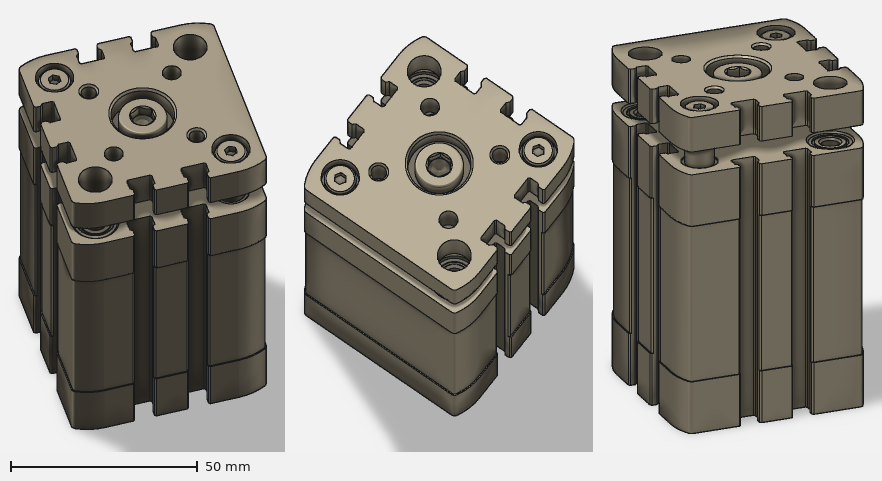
import cadquery as cq
import math


width = 54.5
cap_height = 15.0
housing_height = 75.0
gap = 6.6
plate_thickness = 10.0
barrel_inset = 0.35

half_width = width / 2
plate_bottom = housing_height + gap
plate_top = plate_bottom + plate_thickness

side_arc_start = 18.8
side_arc_radius = 16.5
corner_radius = 1.5

slot_offset = 7.55
slot_mouth = 5.5
slot_width = 7.0
slot_depth = 5.6
slot_mouth_chamfer = 0.45
slot_floor_chamfer = 0.4
slot_lip = 1.8

corner_offset = 18.95
guide_points = [(-corner_offset, -corner_offset), (corner_offset, corner_offset)]
bolt_points = [(-corner_offset, corner_offset), (corner_offset, -corner_offset)]
guide_diameter = 8.0
guide_depth = 15.0
guide_recess_diameter = 10.0
guide_recess_depth = 0.5
screw_pocket_diameter = 10.2
screw_pocket_depth = 4.0
screw_head_diameter = 8.57
screw_head_drop = 0.8
screw_head_chamfer = 0.5
screw_hex = 3.0
screw_hex_depth = 2.0

bolt_access_diameter = 9.0
bolt_seat_diameter = 11.9
bolt_seat_chamfer = 0.5
bolt_groove_outer = 10.0
bolt_head_diameter = 8.57
bolt_groove_depth = 0.5
bolt_bore = 4.92
bolt_countersink = 6.2

mount_offset = 11.6
dowel_points = [(-mount_offset, mount_offset), (mount_offset, -mount_offset)]
thread_points = [(-mount_offset, -mount_offset), (mount_offset, mount_offset)]
dowel_diameter = 5.0
thread_diameter = 4.13
thread_countersink = 5.3

rod_diameter = 12.0
rod_depth = 15.0
rod_flats = 10.0
rod_flat_height = 4.5
pocket_diameter = 17.0
pocket_depth = 5.5
pocket_chamfer = 0.6
head_diameter = 13.0
head_drop = 1.0
head_round = 0.6
head_hex = 6.0
head_hex_depth = 3.0
head_hex_countersink = 7.0
drill_diameter = 4.13


def cylinder(diameter, bottom, height, points=((0, 0),)):
    return cq.Workplane("XY").workplane(offset=bottom).pushPoints(points).circle(diameter / 2).extrude(height)


def cone(lower_diameter, upper_diameter, bottom, height, points=((0, 0),)):
    solid = cq.Solid.makeCone(lower_diameter / 2, upper_diameter / 2, height)
    return cq.Workplane("XY").pushPoints(points).eachpoint(
        lambda place: solid.moved(place).translate(cq.Vector(0, 0, bottom)))


def countersink(diameter, hole_diameter, top, points):
    """45 degree entry cone that opens a hole from hole_diameter to diameter at height top."""
    depth = (diameter - hole_diameter) / 2
    return cone(hole_diameter, diameter, top - depth, depth, points)


def hexagon(across_flats, top, depth, points=((0, 0),)):
    across_corners = across_flats / math.cos(math.pi / 6)
    return (cq.Workplane("XY").workplane(offset=top - depth).pushPoints(points)
            .polygon(6, across_corners).extrude(depth))


def slot_cutter(half, bottom, height):
    """T slot open towards -Y in a block whose face lies at Y = -half."""
    mouth = slot_mouth / 2
    inner = slot_width / 2
    face = -half
    lip_end = -half_width + slot_lip
    floor = -half_width + slot_depth
    right = [
        (mouth + slot_mouth_chamfer, face),
        (mouth, face + slot_mouth_chamfer),
        (mouth, lip_end),
        (inner, lip_end + inner - mouth),
        (inner, floor - slot_floor_chamfer),
        (inner - slot_floor_chamfer, floor),
    ]
    left = [(-x, y) for x, y in reversed(right)]
    return cq.Workplane("XY").workplane(offset=bottom).polyline(right + left).close().extrude(height)


def profile_block(half, bottom, height):
    """Block with curved X sides and two T slots on each of the -X, -Y and +X sides."""
    inset = half_width - half
    arc_radius = side_arc_radius - inset
    rise = half - side_arc_start
    angle = math.asin(rise / arc_radius)

    def on_arc(turn):
        return (half - arc_radius * (1 - math.cos(turn)), side_arc_start + arc_radius * math.sin(turn))

    mid_x, mid_y = on_arc(angle / 2)
    end_x, end_y = on_arc(angle)
    block = (
        cq.Workplane("XY").workplane(offset=bottom)
        .moveTo(half, -side_arc_start)
        .lineTo(half, side_arc_start)
        .threePointArc((mid_x, mid_y), (end_x, end_y))
        .lineTo(-end_x, end_y)
        .threePointArc((-mid_x, mid_y), (-half, side_arc_start))
        .lineTo(-half, -side_arc_start)
        .threePointArc((-mid_x, -mid_y), (-end_x, -end_y))
        .lineTo(end_x, -end_y)
        .threePointArc((mid_x, -mid_y), (half, -side_arc_start))
        .close().extrude(height)
    )
    block = block.faces("<Y or >Y").edges("|Z").fillet(corner_radius - inset)
    slot = slot_cutter(half, bottom, height)
    for turn in (-90, 0, 90):
        for offset in (-slot_offset, slot_offset):
            block = block.cut(slot.translate((offset, 0, 0)).rotate((0, 0, 0), (0, 0, 1), turn))
    return block


def build_housing():
    barrel_height = housing_height - 2 * cap_height
    body = profile_block(half_width, 0, cap_height)
    body = body.union(profile_block(half_width - barrel_inset, cap_height, barrel_height))
    body = body.union(profile_block(half_width, cap_height + barrel_height, cap_height))

    body = body.cut(cylinder(rod_diameter, housing_height - rod_depth, rod_depth))
    body = body.cut(cylinder(guide_diameter, housing_height - guide_depth, guide_depth, guide_points))
    body = body.cut(cylinder(guide_recess_diameter, housing_height - guide_recess_depth,
                             guide_recess_depth, guide_points))

    seat = housing_height - bolt_seat_chamfer
    mouth_diameter = bolt_seat_diameter + 2 * bolt_seat_chamfer
    body = body.cut(countersink(mouth_diameter, bolt_seat_diameter, housing_height, bolt_points))
    groove = cylinder(bolt_groove_outer, seat - bolt_groove_depth, bolt_groove_depth, bolt_points)
    groove = groove.cut(cylinder(bolt_head_diameter, seat - bolt_groove_depth, bolt_groove_depth, bolt_points))
    body = body.cut(groove)
    body = body.cut(cylinder(bolt_bore, 0, housing_height, bolt_points))
    body = body.cut(countersink(bolt_countersink, bolt_bore, seat, bolt_points))
    return body


def piston_rod():
    rod_bottom = housing_height - rod_depth
    rod = cylinder(rod_diameter, rod_bottom, plate_bottom - rod_bottom)
    flat_bottom = plate_bottom - rod_flat_height
    ramp = (rod_diameter - rod_flats) / 2
    for side in (-1, 1):
        flat = (
            cq.Workplane("YZ").workplane(offset=-rod_diameter / 2)
            .moveTo(side * rod_flats / 2, plate_bottom)
            .lineTo(side * rod_flats / 2, flat_bottom)
            .lineTo(side * rod_diameter / 2, flat_bottom - ramp)
            .lineTo(side * rod_diameter / 2, plate_bottom)
            .close().extrude(rod_diameter)
        )
        rod = rod.cut(flat)
    return rod


def piston_screw():
    """Head in the middle pocket: hexagon socket with a drilled, pointed bottom."""
    floor = plate_top - pocket_depth
    top = plate_top - head_drop
    socket_floor = top - head_hex_depth
    cone_depth = (head_hex - drill_diameter) / 2
    tip_depth = drill_diameter / 2 * math.tan(math.radians(30))
    head = cylinder(head_diameter, floor, top - floor).faces(">Z").edges().fillet(head_round)
    socket = hexagon(head_hex, top, head_hex_depth)
    socket = socket.union(countersink(head_hex_countersink, head_hex, top, [(0, 0)]))
    socket = socket.union(cone(drill_diameter, head_hex, socket_floor - cone_depth, cone_depth))
    socket = socket.union(cone(0, drill_diameter, socket_floor - cone_depth - tip_depth, tip_depth))
    return head, socket


def guide_screws():
    floor = plate_top - screw_pocket_depth
    top = plate_top - screw_head_drop
    heads = cylinder(screw_head_diameter, floor, top - floor, guide_points)
    heads = heads.faces(">Z").edges().chamfer(screw_head_chamfer)
    return heads.cut(hexagon(screw_hex, top, screw_hex_depth, guide_points))


def build_carriage():
    plate = profile_block(half_width, plate_bottom, plate_thickness)
    holes = (
        (bolt_access_diameter, bolt_points),
        (dowel_diameter, dowel_points),
        (thread_diameter, thread_points),
    )
    for diameter, points in holes:
        plate = plate.cut(cylinder(diameter, plate_bottom, plate_thickness, points))
    plate = plate.cut(countersink(thread_countersink, thread_diameter, plate_top, thread_points))

    plate = plate.cut(cylinder(screw_pocket_diameter, plate_top - screw_pocket_depth,
                               screw_pocket_depth, guide_points))
    plate = plate.cut(cylinder(pocket_diameter, plate_top - pocket_depth, pocket_depth))
    pocket_mouth = pocket_diameter + 2 * pocket_chamfer
    plate = plate.cut(countersink(pocket_mouth, pocket_diameter, plate_top, [(0, 0)]))

    guide_bottom = housing_height - guide_depth
    plate = plate.union(cylinder(guide_diameter, guide_bottom, plate_bottom - guide_bottom, guide_points))
    plate = plate.union(piston_rod())
    plate = plate.union(guide_screws())
    head, socket = piston_screw()
    return plate.union(head).cut(socket)


housing = build_housing()
carriage = build_carriage()
result = cq.Compound.makeCompound([*housing.vals(), *carriage.vals()])